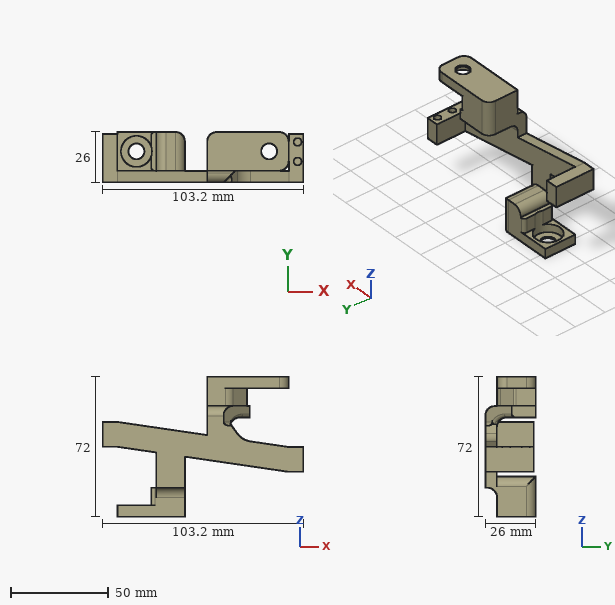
import cadquery as cq
import math

length = 103.2
depth = 26.0
height = 72.0

plate_thick = 6.0
arm_thick = 6.0
round_radius = 5.0
hole_dia = 8.0
counterbore_dia = 16.0
counterbore_floor = 1.0
hole_y = (plate_thick + depth) / 2

end_length = 7.5
end_depth = 25.0
beam_height = 12.9
left_end_bottom = 35.9
right_end_bottom = left_end_bottom - beam_height
left_end_top = left_end_bottom + beam_height
right_end_x = length - end_length
beam_slope = beam_height / (right_end_x - end_length)

pin_dia = 4.0
pin_depth = 10.0
pin_x = 100.2
pin_y_places = (10.8, 20.8)

lower_left = end_length
leg_left = 27.4
leg_right = 42.3
leg_bottom = 14.9
lower_block_top = 20.7
lower_hole_x = 17.3
rib_left = 24.9
rib_top = 15.0
rib_radius = 2.0

upper_left = 53.6
upper_right = right_end_x
upper_hole_x = 85.5
lip_bottom = 51.0
lip_top = 57.0
lip_right = 75.6
lip_diagonal = 62.1
lip_edge_radius = 2.0
wall_right = 74.3
wall_diagonal = 59.3
wall_front_radius = 5.5
wall_back_radius = 2.0
notch_bottom = 46.8

throat_angle = 54.0
throat_top_z = 47.7
throat_arc_x = 70.4
throat_bottom_radius = 10.0
throat_arc_z = lip_bottom - round_radius
throat_top_x = throat_arc_x - math.sqrt(round_radius**2 - (throat_top_z - throat_arc_z) ** 2)


diagonal_edges = cq.selectors.ParallelDirSelector(cq.Vector(1, 1, 0))


def box(x0, x1, y0, y1, z0, z1):
    return cq.Workplane("XY").box(x1 - x0, y1 - y0, z1 - z0, centered=False).translate((x0, y0, z0))


def front_prism(points, y0, y1):
    """Extrude an XZ outline from Y = y0 to Y = y1."""
    return cq.Workplane("XZ", origin=(0, y0, 0)).polyline(points).close().extrude(y0 - y1)


def plan_prism(points, z0, z1):
    """Extrude an XY outline from Z = z0 to Z = z1."""
    return cq.Workplane("XY", origin=(0, 0, z0)).polyline(points).close().extrude(z1 - z0)


def cylinder(x, y, z0, z1, dia):
    return cq.Workplane("XY", origin=(x, y, z0)).circle(dia / 2).extrude(z1 - z0)


def edge_near(x, y, z):
    return cq.selectors.NearestToPointSelector((x, y, z))


def beam_bottom_z(x):
    return left_end_bottom - beam_slope * (x - end_length)


def beam_top_z(x):
    return left_end_top - beam_slope * (x - end_length)


def make_plate():
    throat_slope = math.tan(math.radians(throat_angle))
    throat_bottom_x = throat_top_x + (
        (throat_top_z - beam_top_z(throat_top_x)) / (throat_slope - beam_slope)
    )
    outline = [
        (0, left_end_bottom),
        (end_length, left_end_bottom),
        (leg_left, beam_bottom_z(leg_left)),
        (leg_left, leg_bottom),
        (leg_right, leg_bottom),
        (leg_right, beam_bottom_z(leg_right)),
        (right_end_x, right_end_bottom),
        (length, right_end_bottom),
        (length, left_end_bottom),
        (right_end_x, left_end_bottom),
        (throat_bottom_x, beam_top_z(throat_bottom_x)),
        (throat_top_x, throat_top_z),
        (throat_top_x, notch_bottom + lip_edge_radius),
        (upper_left, notch_bottom + lip_edge_radius),
        (upper_left, beam_top_z(upper_left)),
        (end_length, left_end_top),
        (0, left_end_top),
    ]
    plate = front_prism(outline, 0, plate_thick)

    plate_middle = plate_thick / 2
    beam_corner = edge_near(throat_bottom_x, plate_middle, beam_top_z(throat_bottom_x))
    plate = plate.edges(beam_corner).fillet(throat_bottom_radius)

    notch = plan_prism(
        [(lip_diagonal - plate_thick, -plate_thick), (lip_right + plate_thick, -plate_thick),
         (lip_right + plate_thick, lip_right + plate_thick - lip_diagonal)],
        notch_bottom, lip_top,
    )
    notch = notch.edges(diagonal_edges).edges("<Z").fillet(lip_edge_radius)
    notch = notch.intersect(box(0, length, -plate_thick, plate_thick, notch_bottom, lip_top))
    return plate.cut(notch)


def make_ends():
    left = box(0, end_length, 0, end_depth, left_end_bottom, left_end_top)
    right = box(right_end_x, length, 0, end_depth, right_end_bottom, left_end_bottom)
    for y in pin_y_places:
        right = right.cut(cylinder(pin_x, y, left_end_bottom - pin_depth, left_end_bottom, pin_dia))
    return left.union(right)


def make_neck():
    """Offset neck and lip that carry the upper wall, joining it to the plate."""
    arc_start = math.pi - math.asin((throat_top_z - throat_arc_z) / round_radius)
    arc_middle = (arc_start + math.pi / 2) / 2
    arc_middle_x = throat_arc_x + round_radius * math.cos(arc_middle)
    arc_middle_z = throat_arc_z + round_radius * math.sin(arc_middle)
    front_shape = (
        cq.Workplane("XZ")
        .moveTo(upper_left, throat_arc_z)
        .lineTo(throat_top_x, throat_arc_z)
        .lineTo(throat_top_x, throat_top_z)
        .threePointArc((arc_middle_x, arc_middle_z), (throat_arc_x, lip_bottom))
        .lineTo(lip_right, lip_bottom)
        .lineTo(lip_right, lip_top)
        .lineTo(upper_left, lip_top)
        .close()
        .extrude(-depth)
    )
    diagonal_cut = plan_prism(
        [(lip_diagonal, 0), (lip_right, 0), (lip_right, lip_right - lip_diagonal)], throat_arc_z, lip_top
    )
    neck = front_shape.cut(diagonal_cut)
    straight_middle_x = (throat_arc_x + lip_right) / 2
    straight_edge = edge_near(straight_middle_x, straight_middle_x - lip_diagonal, lip_bottom)
    neck = neck.edges(straight_edge).fillet(lip_edge_radius)

    bend = round_radius * math.sqrt(0.5)
    shoulder_z = lip_top - round_radius
    cove_end_y = plate_thick + round_radius
    offset_shape = (
        cq.Workplane("YZ", origin=(upper_left, 0, 0))
        .moveTo(0, throat_arc_z)
        .lineTo(0, shoulder_z)
        .threePointArc((round_radius - bend, shoulder_z + bend), (round_radius, lip_top))
        .lineTo(depth, lip_top)
        .lineTo(depth, lip_bottom)
        .lineTo(cove_end_y, lip_bottom)
        .threePointArc((cove_end_y - bend, throat_arc_z + bend), (plate_thick, throat_arc_z))
        .close()
        .extrude(lip_right - upper_left)
    )
    return neck.intersect(offset_shape)


def make_lower_bracket():
    arm = box(lower_left, leg_right, plate_thick, depth, 0, arm_thick)
    block = box(leg_left, leg_right, plate_thick, depth, 0, lower_block_top)
    block = block.edges("|Y and >Z").fillet(round_radius)
    rib = box(rib_left, leg_left + rib_radius, plate_thick, depth, 0, rib_top)
    rib = rib.edges("|Z and <X").fillet(rib_radius)
    corner_round = box(lower_left, leg_right, plate_thick, depth, 0, lower_block_top)
    corner_round = corner_round.edges("|Z and >X and >Y").fillet(round_radius)
    bracket = arm.union(block).union(rib).intersect(corner_round)
    bracket = bracket.cut(cylinder(lower_hole_x, hole_y, 0, arm_thick, hole_dia))
    bracket = bracket.cut(
        cylinder(lower_hole_x, hole_y, counterbore_floor, lower_block_top, counterbore_dia)
    )
    cove_y = plate_thick - round_radius
    cove_z = leg_bottom - round_radius
    cove = box(leg_left, leg_right, cove_y, plate_thick, cove_z, leg_bottom)
    cove_bar = cq.Workplane("YZ", origin=(leg_left, cove_y, cove_z)).circle(round_radius)
    cove = cove.cut(cove_bar.extrude(leg_right - leg_left))
    return bracket.union(cove)


def make_upper_bracket():
    arm_bottom = height - arm_thick
    arm = box(upper_left, upper_right, plate_thick, depth, arm_bottom, height)
    arm = arm.edges("|Z and >X").fillet(round_radius)

    wall = plan_prism(
        [(upper_left, plate_thick), (wall_diagonal + plate_thick, plate_thick),
         (wall_right, wall_right - wall_diagonal), (wall_right, depth), (upper_left, depth)],
        lip_top, arm_bottom,
    )
    wall_middle = (lip_top + arm_bottom) / 2
    front_corner = edge_near(wall_diagonal + plate_thick, plate_thick, wall_middle)
    wall = wall.edges(front_corner).fillet(wall_front_radius)
    back_corner = edge_near(wall_right, wall_right - wall_diagonal, wall_middle)
    wall = wall.edges(back_corner).fillet(wall_back_radius)

    bracket = arm.union(wall).union(make_neck())
    corner_round = box(upper_left, upper_right, 0, depth, throat_arc_z, height)
    corner_round = corner_round.edges("|Z and <X and >Y").fillet(round_radius)
    bracket = bracket.intersect(corner_round)
    bracket = bracket.cut(cylinder(upper_hole_x, hole_y, arm_bottom, height, hole_dia))
    bracket = bracket.cut(
        cylinder(upper_hole_x, hole_y, arm_bottom, height - counterbore_floor, counterbore_dia)
    )
    return bracket


result = make_plate().union(make_ends()).union(make_lower_bracket()).union(make_upper_bracket())